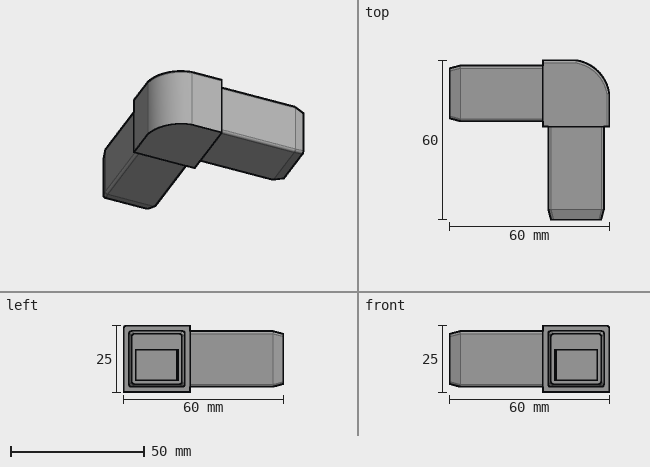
import cadquery as cq
import math

block_size = 25.0
corner_arc_start = block_size / 2
corner_arc_radius = 15.0
block_edge_radius = 1.0

leg_size = 21.0
overall_length = 60.0
leg_length = overall_length - block_size
leg_edge_radius = 1.0
tip_length = 4.0
tip_taper_angle = 15.0

bore_wall = 2.5
bore_height = 11.5
bore_depth = 40.0

leg_margin = (block_size - leg_size) / 2
block_center = block_size / 2
bore_width = leg_size - 2 * bore_wall
bore_offset = leg_margin + bore_wall


def make_block():
    """Cube from the origin, with its +X +Y corner rounded and its outer top edges filleted."""
    cube = cq.Workplane("XY").box(block_size, block_size, block_size, centered=False)
    cube = cube.edges("(>X or >Y) and >Z").fillet(block_edge_radius)

    chord_middle = (block_size + corner_arc_start) / 2
    half_chord = (block_size - corner_arc_start) / math.sqrt(2)
    chord_to_center = math.sqrt(corner_arc_radius**2 - half_chord**2)
    arc_center = chord_middle - chord_to_center / math.sqrt(2)
    column_size = arc_center + corner_arc_radius

    column = cq.Workplane("XY").box(column_size, column_size, block_size, centered=False)
    column = column.edges("|Z and >X and >Y").fillet(corner_arc_radius)
    column = column.faces(">Z").edges("not(<X or <Y)").fillet(block_edge_radius)
    return cube.intersect(column)


def leg_plane(distance):
    """Plane facing -Y, centred on the leg, at a distance out from the block's -Y face."""
    return cq.Workplane("XZ", origin=(block_center, -distance, block_center))


def make_leg():
    """Square leg along -Y with a tapered tip and rounded long edges."""
    shank_length = leg_length - tip_length
    shank = leg_plane(0).rect(leg_size, leg_size).extrude(shank_length)
    tip = leg_plane(shank_length).rect(leg_size, leg_size).extrude(tip_length, taper=tip_taper_angle)
    long_edges = shank.union(tip).edges("not(|X or |Z)")
    return long_edges.fillet(leg_edge_radius)


def make_bore():
    """Rectangular bore running from the leg tip into the block."""
    bore = cq.Workplane("XY").box(bore_width, bore_depth, bore_height, centered=False)
    return bore.translate((bore_offset, -leg_length, bore_offset))


def swap_to_x(shape):
    """Mirror a leg feature across the plane X = Y, so that it points along -X instead of -Y."""
    return shape.mirror("YZ").rotate((0, 0, 0), (0, 0, 1), -90)


leg = make_leg()
bore = make_bore()
body = make_block().union(leg).union(swap_to_x(leg))
result = body.cut(bore).cut(swap_to_x(bore))